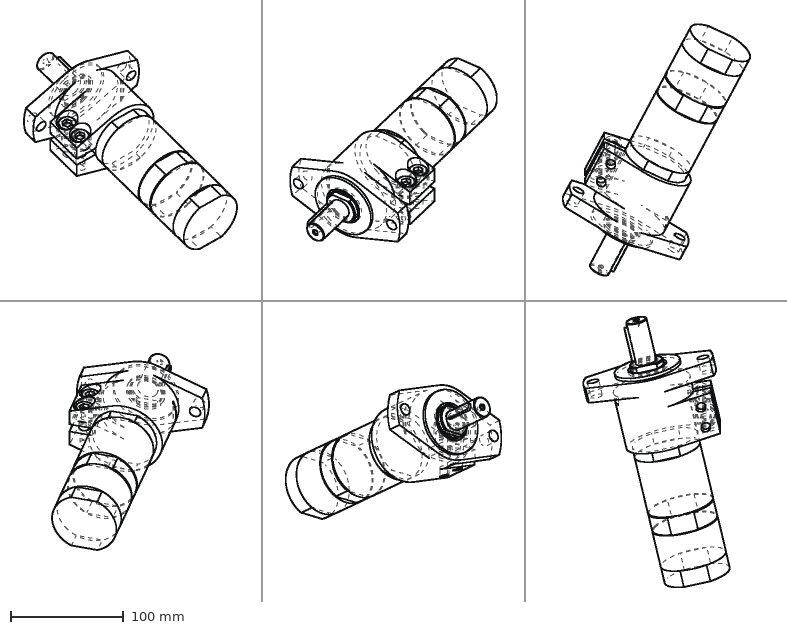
import cadquery as cq
import math

shaft_end = 39.5
pilot_start = 44.0
flange_start = 47.0
flange_end = 60.8
clamp_start = 74.8
clamp_end = 113.7
neck_end = 123.7
mid_flats_start = 176.5
mid_flats_end = 194.0
tail_flats_start = 227.5
motor_end = 243.0

shaft_dia = 18.7
collar_dia = 30.5
recess_dia = 35.0
pilot_dia = 59.8
body_dia = 70.0
motor_dia = 59.8
flatted_dia = 59.5

shaft_chamfer = 0.7
centre_hole_dia = 4.0
centre_hole_depth = 4.9
centre_tip_depth = 1.2
countersink_dia = 5.5
key_start = 4.5
key_end = 37.0
key_width = 6.0
key_top = 12.0
collar_chamfer = 1.0
collar_flat_height = 24.3
ring_start = 44.7

flange_span = 118.0
side_slope = 20.0
bolt_hole_dia = 10.2
bolt_hole_offset = 50.0

clamp_reach = 50.8
slit_width = 8.0
screw_offset = 39.5
screw_spacing = 19.0
first_screw = 85.0
counterbore_dia = 18.7
screw_head_dia = 16.0
screw_head_top_dia = 15.0
screw_head_top = 18.7
screw_head_height = 10.0
screw_shank_dia = 10.2
socket_flats = 8.0
socket_depth = 4.0
socket_tip_depth = 2.5
tapped_hole_dia = 8.3
tapped_hole_top = -14.5

gap_start = 68.5
gap_width = 1.0
gap_floor = 32.0

flats_height = 54.5
mid_chamfer = 0.7


def cylinder(start, end, diameter):
    """Cylinder on the motor axis between two X stations."""
    return cq.Workplane("YZ", origin=(start, 0, 0)).circle(diameter / 2).extrude(end - start)


def block(x_range, y_range, z_range):
    """Box from its limits along each axis."""
    size = [high - low for low, high in (x_range, y_range, z_range)]
    corner = (x_range[0], y_range[0], z_range[0])
    return cq.Workplane("XY").box(*size, centered=False).translate(corner)


def upright(bottom, top, diameter, x):
    """Vertical cylinder on a clamp screw axis."""
    plane = cq.Workplane("XY", origin=(x, -screw_offset, bottom))
    return plane.circle(diameter / 2).extrude(top - bottom)


def flatted(solid, height):
    """Trim a round solid to parallel flats facing up and down."""
    return solid.intersect(cq.Workplane("XY").box(2 * motor_end, body_dia, height))


body_radius = body_dia / 2
slope = math.radians(side_slope)
tangent_y = body_radius * math.sin(slope)
tangent_z = body_radius * math.cos(slope)


def slope_height(y_offset):
    return tangent_z - (y_offset - tangent_y) * math.tan(slope)


def sloped_plate(start, end, reach):
    """Plate whose flat sides leave the round body at tangents and narrow towards the given reach."""
    reach_height = slope_height(reach)
    half = [(tangent_y, tangent_z), (reach, reach_height), (reach, -reach_height), (tangent_y, -tangent_z)]
    opposite = [(-y, -z) for y, z in half]
    return cq.Workplane("YZ", origin=(start, 0, 0)).polyline(half + opposite).close().extrude(end - start)


def make_centre_hole():
    """Countersunk centre hole with a conical bottom, revolved about the shaft axis."""
    hole_radius = centre_hole_dia / 2
    countersink_radius = countersink_dia / 2
    return (
        cq.Workplane("XY")
        .polyline([
            (0, 0),
            (0, countersink_radius),
            (countersink_radius - hole_radius, hole_radius),
            (centre_hole_depth, hole_radius),
            (centre_hole_depth + centre_tip_depth, 0),
        ])
        .close()
        .revolve(360, (0, 0, 0), (1, 0, 0))
    )


def make_shaft():
    shaft = cylinder(0, flange_start, shaft_dia).faces("<X").chamfer(shaft_chamfer)
    key_middle = (key_start + key_end) / 2
    key = (
        cq.Workplane("XZ", origin=(key_middle, 0, 0))
        .slot2D(key_end - key_start, key_width)
        .extrude(-key_top)
    )
    collar = cylinder(shaft_end, ring_start, collar_dia)
    collar = flatted(collar.faces("<X").chamfer(collar_chamfer), collar_flat_height)
    ring = cylinder(ring_start, flange_start, collar_dia).faces("<X").chamfer(collar_chamfer)
    return shaft.union(key).union(collar).union(ring).cut(make_centre_hole())


def make_flange():
    flange = sloped_plate(flange_start, flange_end, flange_span / 2)
    flange = flange.intersect(cylinder(flange_start, flange_end, flange_span))
    bolt_holes = (
        cq.Workplane("YZ", origin=(flange_start, 0, 0))
        .pushPoints([(-bolt_hole_offset, 0), (bolt_hole_offset, 0)])
        .circle(bolt_hole_dia / 2)
        .extrude(flange_end - flange_start)
    )
    pilot = cylinder(pilot_start, flange_start, pilot_dia)
    recess = cylinder(pilot_start, flange_start, recess_dia)
    return flange.cut(bolt_holes).union(pilot).cut(recess)


def make_clamp_screw(x):
    """Socket-head screw standing on the counterbore floor and bridging the slit."""
    head_bottom = screw_head_top - screw_head_height
    head_chamfer = (screw_head_dia - screw_head_top_dia) / 2
    head = upright(head_bottom, screw_head_top, screw_head_dia, x).faces(">Z").chamfer(head_chamfer)
    socket_floor = screw_head_top - socket_depth
    socket = (
        cq.Workplane("XY", origin=(x, -screw_offset, socket_floor))
        .transformed(rotate=(0, 0, 90))
        .polygon(6, socket_flats / math.cos(math.pi / 6))
        .extrude(socket_depth)
    )
    tip = cq.Solid.makeCone(
        socket_flats / 2,
        0,
        socket_tip_depth,
        cq.Vector(x, -screw_offset, socket_floor),
        cq.Vector(0, 0, -1),
    )
    shank = upright(tapped_hole_top, head_bottom, screw_shank_dia, x)
    return head.cut(socket).cut(cq.Workplane(tip)).union(shank)


def make_body():
    """Round body with the sloped clamp jaws on its -Y side."""
    body = cylinder(flange_start, clamp_end, body_dia)
    jaws = sloped_plate(clamp_start, clamp_end, clamp_reach).intersect(
        block((clamp_start, clamp_end), (-clamp_reach, 0), (-body_radius, body_radius))
    )
    slit = block(
        (clamp_start, clamp_end), (-clamp_reach, 0), (-slit_width / 2, slit_width / 2)
    ).cut(cylinder(clamp_start, clamp_end, motor_dia))
    body = body.union(jaws).cut(slit)

    for x in (first_screw, first_screw + screw_spacing):
        counterbore = upright(screw_head_top - screw_head_height, body_radius, counterbore_dia, x)
        tapped_hole = upright(-body_radius, tapped_hole_top, tapped_hole_dia, x)
        body = body.cut(counterbore).union(make_clamp_screw(x)).cut(tapped_hole)

    gap = block(
        (gap_start, gap_start + gap_width), (gap_floor, body_radius), (-body_radius, body_radius)
    )
    return body.cut(gap)


def make_motor():
    neck = flatted(cylinder(clamp_end, neck_end, flatted_dia), flats_height)
    front_barrel = cylinder(neck_end, mid_flats_start, motor_dia)
    middle = cylinder(mid_flats_start, mid_flats_end, flatted_dia).edges().chamfer(mid_chamfer)
    rear_barrel = cylinder(mid_flats_end, tail_flats_start, motor_dia)
    tail = flatted(cylinder(tail_flats_start, motor_end, flatted_dia), flats_height)
    return (
        neck.union(front_barrel)
        .union(flatted(middle, flats_height))
        .union(rear_barrel)
        .union(tail)
    )


result = make_flange().union(make_shaft()).union(make_body()).union(make_motor())